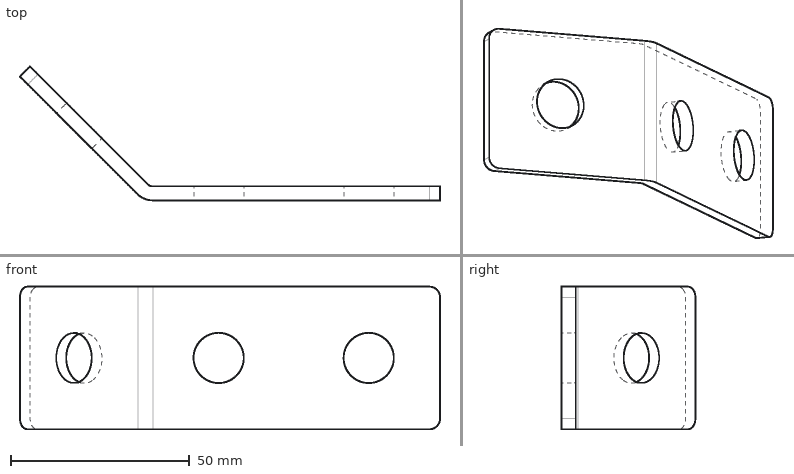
import cadquery as cq
import math

length = 117.6
depth = 37.5
width = 40.0
thickness = 4.0

bend_angle = 45.0
inner_radius = 2.0
outer_radius = inner_radius + thickness

corner_radius = 3.1
hole_diameter = 14.0
hole_end_distance = 20.0
hole_pitch = 42.0
angled_hole_end_distance = 21.4

cos_bend = math.cos(math.radians(bend_angle))
sin_bend = math.sin(math.radians(bend_angle))

angled_flat = (depth - outer_radius + inner_radius * cos_bend) / sin_bend
straight_flat = length - outer_radius * sin_bend - angled_flat * cos_bend


def bend_point(radius, angle):
    """Point on the bend at an angle swept from the straight leg."""
    swept = math.radians(angle)
    return (-radius * math.sin(swept), outer_radius - radius * math.cos(swept))


def angled_leg_end(radius):
    """End of the angled leg on the face tangent to the given bend radius."""
    x, y = bend_point(radius, bend_angle)
    return (x - angled_flat * cos_bend, y + angled_flat * sin_bend)


def make_strap():
    return (
        cq.Workplane("XY")
        .moveTo(straight_flat, 0)
        .lineTo(0, 0)
        .threePointArc(bend_point(outer_radius, bend_angle / 2), bend_point(outer_radius, bend_angle))
        .lineTo(*angled_leg_end(outer_radius))
        .lineTo(*angled_leg_end(inner_radius))
        .lineTo(*bend_point(inner_radius, bend_angle))
        .threePointArc(bend_point(inner_radius, bend_angle / 2), bend_point(inner_radius, 0))
        .lineTo(straight_flat, thickness)
        .close()
        .extrude(width / 2, both=True)
    )


def round_leg_corners(strap):
    """Round the four outer corners, whose edges run through the sheet thickness."""
    through_angled_leg = cq.selectors.ParallelDirSelector(cq.Vector(sin_bend, cos_bend, 0))
    strap = strap.faces(">X").edges("|Y").fillet(corner_radius)
    angled_end = cq.selectors.DirectionMinMaxSelector(cq.Vector(cos_bend, -sin_bend, 0), False)
    return strap.faces(angled_end).edges(through_angled_leg).fillet(corner_radius)


def hole_cutter(x, y, normal):
    """Cylinder through the sheet, centred on the outer face."""
    plane = cq.Plane(origin=(x, y, 0), xDir=(0, 0, 1), normal=normal)
    return cq.Workplane(plane).circle(hole_diameter / 2).extrude(2 * thickness, both=True)


strap = round_leg_corners(make_strap())

for hole_index in range(2):
    hole_x = straight_flat - hole_end_distance - hole_index * hole_pitch
    strap = strap.cut(hole_cutter(hole_x, 0, (0, 1, 0)))

end_x, end_y = angled_leg_end(outer_radius)
angled_hole_x = end_x + angled_hole_end_distance * cos_bend
angled_hole_y = end_y - angled_hole_end_distance * sin_bend
strap = strap.cut(hole_cutter(angled_hole_x, angled_hole_y, (sin_bend, cos_bend, 0)))

result = strap.translate((length / 2 - straight_flat, -depth / 2, 0))